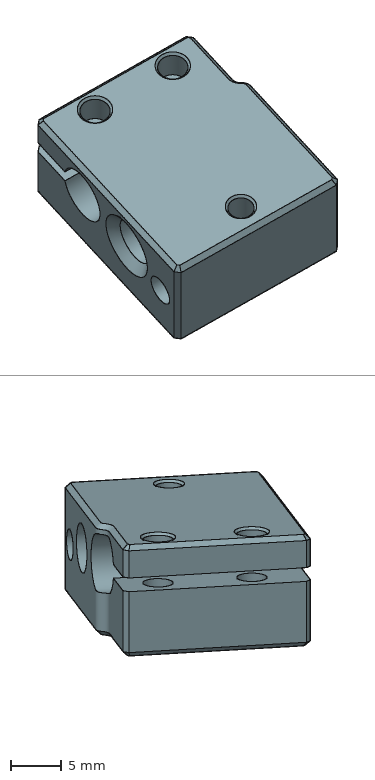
import cadquery as cq
import math

length = 24.0
depth = 20.0
height = 11.5
edge_chamfer = 0.5

step_depth = 1.0
step_start = 7.08
step_radius = step_depth
blend_angle = math.acos(1 - step_depth / (2 * step_radius))

clamp_x = 8.0
clamp_z = 7.5
clamp_diameter = 6.0
slot_width = 1.42
center_bore_x = 15.5
center_bore_z = 7.0
center_bore_diameter = 5.0
countersink_diameter = 7.0
side_bore_x = 21.2
side_bore_z = height / 2
side_bore_diameter = 3.12

screw_x = 2.55
screw_rows = (5.5, 15.0)
screw_diameter = 3.0
screw_mouth_diameter = 3.5
set_screw_x = 21.0
set_screw_y = depth / 2
set_screw_diameter = 2.6
set_screw_mouth_diameter = 3.1


def block():
    """Block with a stepped back wall and every outer edge chamfered."""
    low_y = depth - step_depth
    arc_run = step_radius * math.sin(blend_angle)
    arc_rise = step_radius * (1 - math.cos(blend_angle))
    half_run = step_radius * math.sin(blend_angle / 2)
    half_rise = step_radius * (1 - math.cos(blend_angle / 2))
    step_end = step_start + 2 * arc_run
    outline = (
        cq.Workplane("XY")
        .moveTo(0, edge_chamfer)
        .lineTo(edge_chamfer, 0)
        .lineTo(length - edge_chamfer, 0)
        .lineTo(length, edge_chamfer)
        .lineTo(length, depth - edge_chamfer)
        .lineTo(length - edge_chamfer, depth)
        .lineTo(step_end, depth)
        .threePointArc((step_end - half_run, depth - half_rise), (step_end - arc_run, depth - arc_rise))
        .threePointArc((step_start + half_run, low_y + half_rise), (step_start, low_y))
        .lineTo(edge_chamfer, low_y)
        .lineTo(0, low_y - edge_chamfer)
        .close()
    )
    return outline.extrude(height).faces("<Z or >Z").chamfer(edge_chamfer)


def bore_along_y(x, z, diameter):
    """Cylinder through the full depth of the block."""
    axis = cq.Vector(0, 1, 0)
    return cq.Workplane(cq.Solid.makeCylinder(diameter / 2, depth, cq.Vector(x, 0, z), axis))


def countersink():
    """45 degree cone at the front of the centre bore."""
    mouth_radius = countersink_diameter / 2
    bore_radius = center_bore_diameter / 2
    mouth = cq.Vector(center_bore_x, 0, center_bore_z)
    cone = cq.Solid.makeCone(
        mouth_radius, bore_radius, mouth_radius - bore_radius, mouth, cq.Vector(0, 1, 0)
    )
    return cq.Workplane(cone)


def clamp_slot():
    """Slot from the left wall into the clamp bore."""
    return cq.Workplane("XY").box(clamp_x, depth, slot_width, centered=(False, False, True)).translate(
        (0, 0, clamp_z)
    )


def hole_from_top(x, y, diameter, mouth_diameter, bottom_z):
    """Vertical hole from the top face down to bottom_z, with a 45 degree mouth."""
    down = cq.Vector(0, 0, -1)
    top = cq.Vector(x, y, height)
    shaft = cq.Solid.makeCylinder(diameter / 2, height - bottom_z, top, down)
    mouth_depth = (mouth_diameter - diameter) / 2
    mouth = cq.Solid.makeCone(mouth_diameter / 2, diameter / 2, mouth_depth, top, down)
    return cq.Workplane(shaft).union(cq.Workplane(mouth))


result = (
    block()
    .cut(bore_along_y(clamp_x, clamp_z, clamp_diameter))
    .cut(clamp_slot())
    .cut(bore_along_y(center_bore_x, center_bore_z, center_bore_diameter))
    .cut(countersink())
    .cut(bore_along_y(side_bore_x, side_bore_z, side_bore_diameter))
)

for screw_y in screw_rows:
    result = result.cut(hole_from_top(screw_x, screw_y, screw_diameter, screw_mouth_diameter, 0))

result = result.cut(
    hole_from_top(set_screw_x, set_screw_y, set_screw_diameter, set_screw_mouth_diameter, side_bore_z)
)